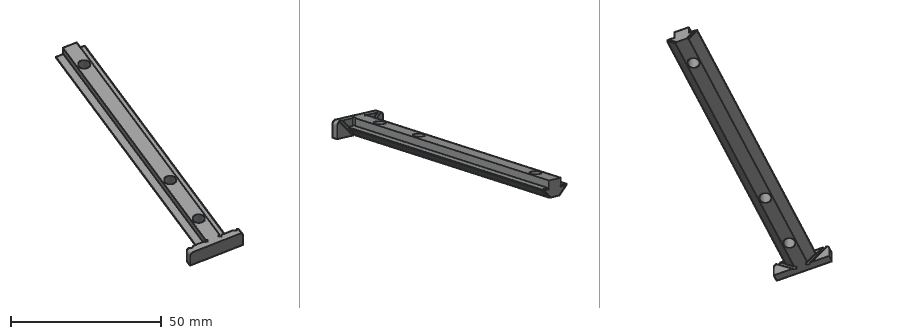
import cadquery as cq
import math

length = 102.5
plate_width = 20.0
height = 6.0

plate_thickness = 2.5
corner_radius = 1.5
plate_face_x = length - plate_thickness

rib_width = 5.2
wing_width = 10.9
ledge_height = 3.4
flank_angle = 45.0
tip_height = 0.3
end_chamfer = 0.4

hole_diameter = 4.0
hole_positions = (10.0, 70.0, 90.0)

relief_diameter = 1.0

half_rib = rib_width / 2
half_wing = wing_width / 2
flank_slope = math.tan(math.radians(flank_angle))
half_base = half_wing - (ledge_height - tip_height) / flank_slope


def edge_cutter(start, end):
    """Diamond prism that chamfers a straight edge of the free end at x = 0."""
    edge = cq.Vector(0, *end) - cq.Vector(0, *start)
    plane = cq.Plane(origin=(0, *start), xDir=(1, 0, 0), normal=edge.toTuple())
    corners = [(end_chamfer, 0), (0, end_chamfer), (-end_chamfer, 0), (0, -end_chamfer)]
    return cq.Workplane(plane).polyline(corners).close().extrude(edge.Length)


def make_bar():
    """Ribbed dovetail with its wings chamfered at the free end."""
    right_side = [
        (half_base, 0),
        (half_wing, ledge_height - tip_height),
        (half_wing, ledge_height),
        (half_rib, ledge_height),
        (half_rib, height),
    ]
    left_side = [(-y, z) for y, z in reversed(right_side)]
    bar = cq.Workplane("YZ").polyline(right_side + left_side).close().extrude(plate_face_x)
    for side in (-1, 1):
        flank_start = (side * (half_base - end_chamfer / flank_slope), -end_chamfer)
        tip_bottom = (side * half_wing, ledge_height - tip_height)
        tip_top = (side * half_wing, ledge_height)
        ledge_inner = (side * half_rib, ledge_height)
        bar = bar.cut(edge_cutter(flank_start, tip_bottom))
        bar = bar.cut(edge_cutter(tip_bottom, tip_top))
        bar = bar.cut(edge_cutter(ledge_inner, tip_top))
    return bar


def make_plate():
    """Cross plate with rounded upper corners."""
    plate = (
        cq.Workplane("XY")
        .box(plate_thickness, plate_width, height, centered=(False, True, False))
        .translate((plate_face_x, 0, 0))
    )
    return plate.edges("|X and >Z").fillet(corner_radius)


def make_holes():
    """Row of through holes along the rib."""
    return (
        cq.Workplane("XY")
        .pushPoints([(x, 0) for x in hole_positions])
        .circle(hole_diameter / 2)
        .extrude(height)
    )


def make_reliefs(side):
    """Vertical groove at the rib corner and sloping groove along the flank."""
    radius = relief_diameter / 2
    rib_relief = cq.Solid.makeCylinder(
        radius,
        height - ledge_height,
        cq.Vector(plate_face_x, side * half_rib, ledge_height),
        cq.Vector(0, 0, 1),
    )
    angle = math.radians(flank_angle)
    slope = cq.Vector(0, side * math.cos(angle), math.sin(angle))
    flank_length = height / math.sin(angle)
    base_point = cq.Vector(plate_face_x, side * half_base, 0)
    flank_relief = cq.Solid.makeCylinder(
        radius,
        flank_length + 2 * relief_diameter,
        base_point - slope * relief_diameter,
        slope,
    )
    return cq.Workplane(rib_relief).union(cq.Workplane(flank_relief))


result = make_bar().union(make_plate()).cut(make_holes())
for side in (-1, 1):
    result = result.cut(make_reliefs(side))